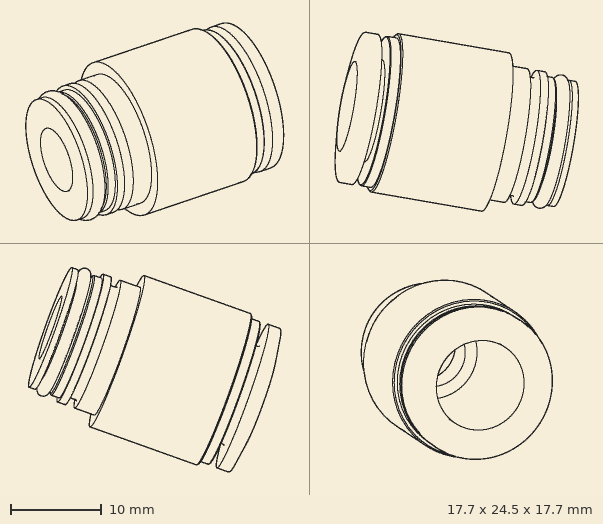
import cadquery as cq
import math


BORE_DIA = 7.3
TUBE_SOCKET_DIA = 10.0
SEAL_LAND_DIA = 14.0
SEAL_GROOVE_DIA = 11.6
SPIGOT_DIA = 14.95
CLIP_GROOVE_DIA = 13.15
BODY_DIA = 17.7
COLLAR_DIA = 16.7
NECK_DIA = 11.4
HEAD_DIA = 16.8
HEAD_FLAT_DIA = 10.6
SEAL_RING_DIA = 14.9

TIP_Y = 0.0
SEAL_GROOVE_START = 0.7
SEAL_GROOVE_END = 2.45
FLANGE_START = 3.5
CLIP_GROOVE_START = 4.4
CLIP_GROOVE_END = 5.5
BODY_START = 7.8
BODY_END = 20.4
COLLAR_END = 21.55
HEAD_START = 22.5
HEAD_END = 24.5
SOCKET_START = 4.35

SEAL_GROOVE_FILLET = 0.2
SEAL_LAND_CHAMFER = 0.15
CLIP_GROOVE_FRONT_FILLET = 0.3
CLIP_GROOVE_BACK_FILLET = 0.2
BODY_CHAMFER = 0.15
COLLAR_CHAMFER = 0.1
NECK_FILLET = 0.3
HEAD_RIM_FILLET = 0.2
HEAD_SLOPE_DEG = 10.0

SEAL_RING_THICKNESS = 1.25


def cylinder(dia, start, end):
    """Solid cylinder on the Y axis between two stations."""
    plane = cq.Workplane("XZ", origin=(0, start, 0))
    return plane.circle(dia / 2).extrude(start - end)


def make_head():
    """Release head: disc with a conical back and a rounded rim."""
    rim_radius = HEAD_DIA / 2
    flat_radius = HEAD_FLAT_DIA / 2
    cone_height = (rim_radius - flat_radius) * math.tan(math.radians(HEAD_SLOPE_DEG))
    rim_y = HEAD_END - cone_height
    head = (
        cq.Workplane("XY")
        .moveTo(0, HEAD_START)
        .lineTo(rim_radius, HEAD_START)
        .lineTo(rim_radius, rim_y)
        .lineTo(flat_radius, HEAD_END)
        .lineTo(0, HEAD_END)
        .close()
        .revolve(360, (0, 0, 0), (0, 1, 0))
    )
    rim = cq.selectors.BoxSelector(
        (-HEAD_DIA, rim_y - HEAD_RIM_FILLET, -HEAD_DIA),
        (HEAD_DIA, rim_y + HEAD_RIM_FILLET, HEAD_DIA),
        boundingbox=True,
    )
    return head.edges("%CIRCLE").edges(rim).fillet(HEAD_RIM_FILLET)


def root_fillet(floor_dia, wall_y, direction, radius):
    """Ring filling a groove's root corner; direction is +1 or -1, from the wall into the groove."""
    floor_radius = floor_dia / 2
    sag = radius * (1 - math.sqrt(0.5))
    return (
        cq.Workplane("XY")
        .moveTo(0, wall_y)
        .lineTo(floor_radius + radius, wall_y)
        .threePointArc(
            (floor_radius + sag, wall_y + direction * sag),
            (floor_radius, wall_y + direction * radius),
        )
        .lineTo(0, wall_y + direction * radius)
        .close()
        .revolve(360, (0, 0, 0), (0, 1, 0))
    )


def make_seal_ring():
    """Round-edged sealing ring, centred in its groove and seated on the groove floor."""
    middle_y = (SEAL_GROOVE_START + SEAL_GROOVE_END) / 2
    half_thickness = SEAL_RING_THICKNESS / 2
    outer_radius = SEAL_RING_DIA / 2
    round_centre = outer_radius - half_thickness
    return (
        cq.Workplane("XY")
        .moveTo(0, middle_y - half_thickness)
        .lineTo(round_centre, middle_y - half_thickness)
        .threePointArc((outer_radius, middle_y), (round_centre, middle_y + half_thickness))
        .lineTo(0, middle_y + half_thickness)
        .close()
        .revolve(360, (0, 0, 0), (0, 1, 0))
    )


def make_outside():
    """All outer steps, joined from the spigot tip to the release head."""
    seal_land = cylinder(SEAL_LAND_DIA, SEAL_GROOVE_END, FLANGE_START)
    body = cylinder(BODY_DIA, BODY_START, BODY_END)
    collar = cylinder(COLLAR_DIA, BODY_END, COLLAR_END)
    sections = [
        cylinder(SEAL_LAND_DIA, TIP_Y, SEAL_GROOVE_START),
        cylinder(SEAL_GROOVE_DIA, SEAL_GROOVE_START, SEAL_GROOVE_END),
        root_fillet(SEAL_GROOVE_DIA, SEAL_GROOVE_START, 1, SEAL_GROOVE_FILLET),
        root_fillet(SEAL_GROOVE_DIA, SEAL_GROOVE_END, -1, SEAL_GROOVE_FILLET),
        make_seal_ring(),
        seal_land.faces("<Y").edges().chamfer(SEAL_LAND_CHAMFER),
        cylinder(SPIGOT_DIA, FLANGE_START, CLIP_GROOVE_START),
        cylinder(CLIP_GROOVE_DIA, CLIP_GROOVE_START, CLIP_GROOVE_END),
        root_fillet(CLIP_GROOVE_DIA, CLIP_GROOVE_START, 1, CLIP_GROOVE_FRONT_FILLET),
        root_fillet(CLIP_GROOVE_DIA, CLIP_GROOVE_END, -1, CLIP_GROOVE_BACK_FILLET),
        cylinder(SPIGOT_DIA, CLIP_GROOVE_END, BODY_START),
        body.faces(">Y").edges().chamfer(BODY_CHAMFER),
        collar.faces(">Y").edges().chamfer(COLLAR_CHAMFER),
        cylinder(NECK_DIA, COLLAR_END, HEAD_START),
        root_fillet(NECK_DIA, HEAD_START, -1, NECK_FILLET),
        make_head(),
    ]
    outside = sections[0]
    for section in sections[1:]:
        outside = outside.union(section)
    return outside


bore = cylinder(BORE_DIA, TIP_Y, SOCKET_START)
tube_socket = cylinder(TUBE_SOCKET_DIA, SOCKET_START, HEAD_END)

result = make_outside().cut(bore).cut(tube_socket)